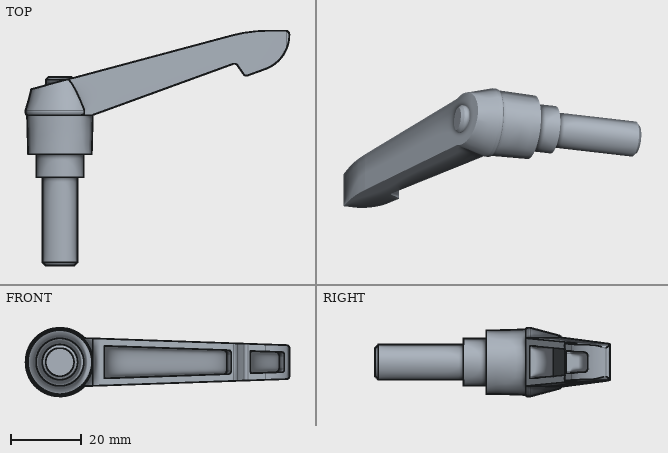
import cadquery as cq
import math


stud_diameter = 10.0
stud_length = 25.0
stud_chamfer = 1.0
sleeve_diameter = 13.5
sleeve_length = 6.5
collar_top_diameter = 18.7
collar_bottom_diameter = 18.1
collar_length = 11.15

hub_diameter = 19.5
hub_rim_rounding = 0.6
hub_rim_height = 1.35
hub_cone_angle = 15.0
hub_blank_height = 14.0

head_diameter = 8.0
head_height = 10.8
head_chamfer = 0.8

tip_x = 65.0
tip_height = 23.9
top_angle = 15.0
top_height_at_axis = 9.5
top_blend_radius = 40.0
underside_angle = 20.0
underside_start_x = 9.35
notch_x = 49.77
notch_angle = 55.0
notch_depth = 3.8
notch_radius = 1.0
tip_belly_radius = 10.5
tip_top_radius = 1.2

arm_half_width_at_axis = 7.08
arm_side_angle = 2.0
tip_side_radius = 0.9

pocket_wall = 2.0
pocket_floor_thickness = 4.2
pocket_start_radius = 0.6
pocket_end_radius = 1.0
arm_pocket_start_x = 12.5
arm_pocket_end_x = 48.5
tip_pocket_start_x = 53.9
tip_pocket_end_x = 64.4


def slope(angle):
    return math.tan(math.radians(angle))


def top_height(x):
    return top_height_at_axis + x * slope(top_angle)


def arm_half_width(x):
    return arm_half_width_at_axis - x * slope(arm_side_angle)


underside_corner = (underside_start_x, 0.0)
notch_corner = (notch_x, (notch_x - underside_start_x) * slope(underside_angle))
hook_corner = (
    notch_x + notch_depth / slope(notch_angle),
    notch_corner[1] - notch_depth,
)
belly_corner = (
    tip_x,
    hook_corner[1] + (tip_x - hook_corner[0]) * slope(underside_angle),
)
tip_corner = (tip_x, tip_height)
top_corner = ((tip_height - top_height_at_axis) / slope(top_angle), tip_height)


def edges_at(body, corner):
    """Edges parallel to Z that pass through a corner of the arm profile."""
    reach = 0.05
    x, y = corner
    box = cq.selectors.BoxSelector(
        (x - reach, y - reach, -reach), (x + reach, y + reach, reach)
    )
    return body.edges("|Z").edges(box)


def make_space_below_top(depth_below_top):
    """Block from Y = 0 up to a plane parallel to the sloping top, at a depth square to it."""
    drop = depth_below_top / math.cos(math.radians(top_angle))
    left = -hub_diameter
    outline = [
        (left, 0),
        (tip_x, 0),
        (tip_x, top_height(tip_x) - drop),
        (left, top_height(left) - drop),
    ]
    return cq.Workplane("XY").polyline(outline).close().extrude(hub_diameter, both=True)


def make_shaft():
    """Collar, sleeve and stud, turned about Y."""
    sleeve_top = -collar_length
    stud_top = sleeve_top - sleeve_length
    stud_end = stud_top - stud_length
    stud_radius = stud_diameter / 2
    outline = [
        (0, 0),
        (collar_top_diameter / 2, 0),
        (collar_bottom_diameter / 2, sleeve_top),
        (sleeve_diameter / 2, sleeve_top),
        (sleeve_diameter / 2, stud_top),
        (stud_radius, stud_top),
        (stud_radius, stud_end + stud_chamfer),
        (stud_radius - stud_chamfer, stud_end),
        (0, stud_end),
    ]
    return cq.Workplane("XY").polyline(outline).close().revolve(360, (0, 0), (0, 1))


def make_hub():
    """Conical hub trimmed by the plane of the lever top."""
    radius = hub_diameter / 2
    blank_radius = radius - (hub_blank_height - hub_rim_height) * slope(hub_cone_angle)
    cone = (
        cq.Workplane("XY")
        .lineTo(radius - hub_rim_rounding, 0)
        .radiusArc((radius, hub_rim_rounding), -hub_rim_rounding)
        .lineTo(radius, hub_rim_height)
        .lineTo(blank_radius, hub_blank_height)
        .lineTo(0, hub_blank_height)
        .close()
        .revolve(360, (0, 0), (0, 1))
    )
    return cone.intersect(make_space_below_top(0))


def make_screw_head():
    return (
        cq.Workplane("XZ")
        .circle(head_diameter / 2)
        .extrude(-head_height)
        .faces(">Y")
        .chamfer(head_chamfer)
    )


def make_arm():
    """Lever arm: side profile, narrowed in plan, with its corners rounded."""
    outline = [
        (0, 0),
        underside_corner,
        notch_corner,
        hook_corner,
        belly_corner,
        tip_corner,
        top_corner,
        (0, top_height_at_axis),
    ]
    profile = cq.Workplane("XY").polyline(outline).close().extrude(hub_diameter, both=True)
    for corner, radius in [
        (notch_corner, notch_radius),
        (hook_corner, notch_radius),
        (belly_corner, tip_belly_radius),
        (tip_corner, tip_top_radius),
        (top_corner, top_blend_radius),
    ]:
        profile = edges_at(profile, corner).fillet(radius)

    plan_outline = [
        (0, -arm_half_width(0)),
        (tip_x, -arm_half_width(tip_x)),
        (tip_x, arm_half_width(tip_x)),
        (0, arm_half_width(0)),
    ]
    plan = (
        cq.Workplane("XZ")
        .polyline(plan_outline)
        .close()
        .extrude(-tip_height)
        .edges("|Y and >X")
        .fillet(tip_side_radius)
    )
    return profile.intersect(plan)


def make_pocket(surface_corner, start_x, end_x):
    """Pocket cutter, square to the sloping underside through surface_corner."""
    angle = math.radians(underside_angle)
    mouth = cq.Plane(
        origin=(surface_corner[0], surface_corner[1], 0),
        xDir=(math.cos(angle), math.sin(angle), 0),
        normal=(math.sin(angle), -math.cos(angle), 0),
    )
    start = (start_x - surface_corner[0]) / math.cos(angle)
    end = (end_x - surface_corner[0]) / math.cos(angle)
    start_half_width = arm_half_width(start_x) - pocket_wall
    end_half_width = arm_half_width(end_x) - pocket_wall
    outline = [
        (start, -start_half_width),
        (end, -end_half_width),
        (end, end_half_width),
        (start, start_half_width),
    ]
    wall_edges = cq.selectors.ParallelDirSelector(mouth.zDir)
    start_edges = wall_edges & cq.selectors.DirectionMinMaxSelector(mouth.xDir, False)
    end_edges = wall_edges & cq.selectors.DirectionMinMaxSelector(mouth.xDir, True)
    cutter = cq.Workplane(mouth).polyline(outline).close().extrude(-tip_height)
    cutter = cutter.edges(start_edges).fillet(pocket_start_radius)
    cutter = cutter.edges(end_edges).fillet(pocket_end_radius)
    return cutter.intersect(make_space_below_top(pocket_floor_thickness))


arm_pocket = make_pocket(underside_corner, arm_pocket_start_x, arm_pocket_end_x)
tip_pocket = make_pocket(hook_corner, tip_pocket_start_x, tip_pocket_end_x)

arm = make_arm().cut(arm_pocket).cut(tip_pocket)
result = make_shaft().union(make_hub()).union(arm).union(make_screw_head())